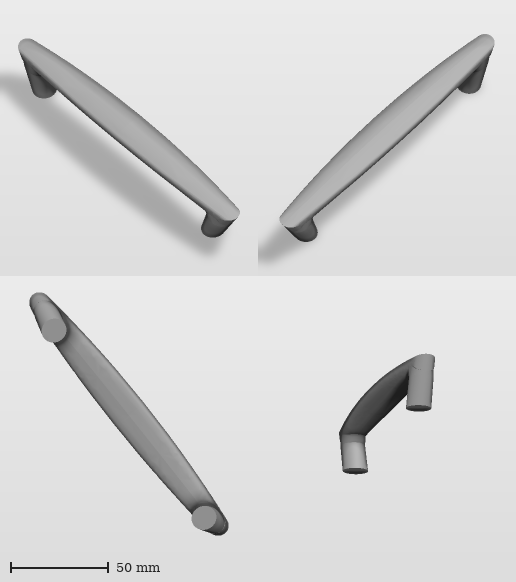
import cadquery as cq
import math

half_length = 79.5
crown_z = 29.0
tip_z = 24.3
bar_thickness = 8.3
bar_width = 19.0
nose_half_width = 5.4
nose_length = 4.3
crown_drop = 1.7
edge_inset = 1.1
widest_depth = 3.8
edge_slope = 0.4
trim_half_width = 19.1
station_count = 6
overrun = 1.6

foot_outer = 68.4
foot_inner = 56.2
foot_width = 13.0
leg_top_width = 12.1
leg_top_z = 21.5
inner_lean = 0.25
flare_start_z = 14.6
flare_reach = 6.0

mid_half_width = bar_width / 2
nose_x = half_length - nose_length
outer_lean = (half_length - foot_outer) / tip_z


def arc_fall(x, fall, run):
    """Fall at x of a circular arc that drops by fall over run."""
    radius = (run**2 + fall**2) / (2 * fall)
    return radius - math.sqrt(radius**2 - x**2)


def bar_section(x):
    """Right half of the section: shallow crown, rounded side and a full belly."""
    half_width = mid_half_width - arc_fall(x, mid_half_width - nose_half_width, nose_x)
    size = half_width / mid_half_width
    top = crown_z - arc_fall(x, crown_z - tip_z, half_length)
    bottom = top - bar_thickness
    edge_y = half_width - edge_inset
    edge_drop = crown_drop * size**2
    crown_radius = (edge_y**2 + edge_drop**2) / (2 * edge_drop)
    edge_z = top - edge_drop
    widest_z = top - widest_depth * size
    return (
        cq.Workplane("YZ", origin=(x, 0, 0))
        .moveTo(0, top)
        .radiusArc((edge_y, edge_z), crown_radius)
        .spline(
            [(half_width, widest_z), (0, bottom)],
            tangents=[(1, -edge_slope), (0, -1), (-1, 0)],
            includeCurrent=True,
        )
        .close()
        .val()
    )


def nose_outline(z):
    """Left half of the plan outline; its nose follows the lean of the leg's outer face."""
    tip_x = half_length - outer_lean * (tip_z - z)
    start_x = tip_x - nose_length
    return (
        cq.Workplane("XY", origin=(0, 0, z))
        .moveTo(0, -trim_half_width)
        .lineTo(-start_x, -nose_half_width)
        .threePointArc((-tip_x, 0), (-start_x, nose_half_width))
        .lineTo(0, trim_half_width)
        .close()
        .val()
    )


def make_half_bar():
    """Bar from its left tip to mid length."""
    step = (half_length + overrun) / (station_count - 1)
    sections = [bar_section(-i * step) for i in range(station_count)]
    side = cq.Workplane(cq.Solid.makeLoft(sections))
    stock = side.union(side.mirror("XZ"))
    below_tip = cq.Workplane(cq.Solid.makeLoft([nose_outline(0), nose_outline(tip_z)], True))
    above_tip = cq.Workplane(nose_outline(tip_z)).toPending().extrude(crown_z)
    return stock.intersect(below_tip.union(above_tip))


def leg_section(z, flare=0.0):
    """Oval section of the left leg; flare pushes its inner face toward mid length."""
    outer = foot_outer + outer_lean * z
    inner = foot_inner + inner_lean * z - flare
    width = foot_width + (leg_top_width - foot_width) * z / leg_top_z
    centre_x = -(outer + inner) / 2
    return cq.Workplane("XY", origin=(centre_x, 0, z)).ellipse((outer - inner) / 2, width / 2).val()


def make_leg():
    """Left leg, longer toward the bar, with a flared inner corner where it meets the belly."""
    sections = [leg_section(0), leg_section(flare_start_z), leg_section(leg_top_z, flare_reach)]
    return cq.Workplane(cq.Solid.makeLoft(sections, True))


left_half = make_half_bar().union(make_leg())
result = left_half.union(left_half.mirror("YZ"))